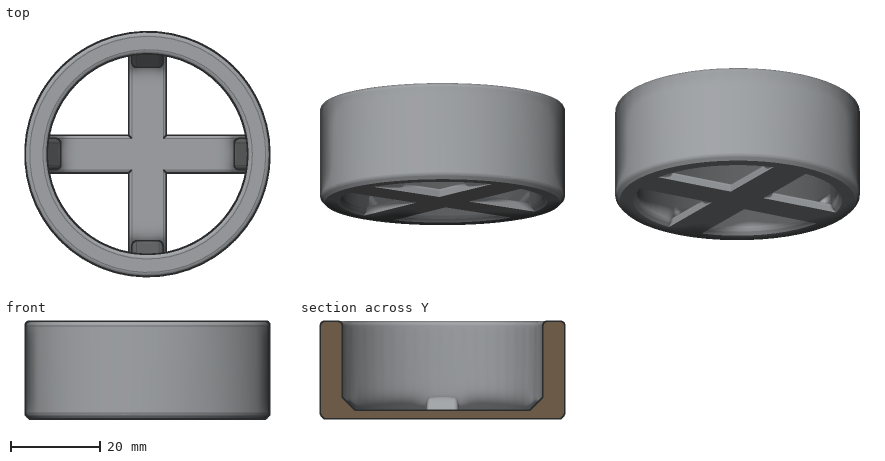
import cadquery as cq

outer_diameter = 55.0
bore_diameter = 45.0
height = 22.0
top_edge_radius = 1.0
bottom_chamfer = 1.0
chamfer_blend_radius = 1.0

arm_width = 8.5
arm_thickness = 2.0
arm_edge_radius = 0.7

wedge_width = arm_width - 2 * arm_edge_radius
wedge_reach = 3.0
wedge_edge_radius = 1.0
arm_count = 4

outer_radius = outer_diameter / 2
bore_radius = bore_diameter / 2
mid_wall_radius = (outer_radius + bore_radius) / 2


def make_ring():
    """Tube with rounded top rims and blended chamfers on both bottom rims."""
    ring = cq.Workplane("XY").circle(outer_radius).circle(bore_radius).extrude(height)
    ring = ring.faces(">Z").edges().fillet(top_edge_radius)
    ring = ring.faces("<Z").edges().chamfer(bottom_chamfer)
    chamfer_tops = cq.selectors.BoxSelector(
        (-outer_radius, -outer_radius, bottom_chamfer / 2),
        (outer_radius, outer_radius, height / 2),
    )
    return ring.edges("%CIRCLE").edges(chamfer_tops).fillet(chamfer_blend_radius)


def make_cross():
    """Two crossed bars with rounded upper edges, ending inside the ring wall."""
    arm_length = 2 * mid_wall_radius
    cross = cq.Workplane("XY").rect(arm_length, arm_width).extrude(arm_thickness)
    cross = cross.union(cq.Workplane("XY").rect(arm_width, arm_length).extrude(arm_thickness))
    return cross.faces(">Z").edges().fillet(arm_edge_radius)


def make_wedge():
    """45 degree wedge rising from an arm to the bore, its sloping edges rounded."""
    toe_radius = bore_radius - wedge_reach
    rise = mid_wall_radius - toe_radius
    wedge = (
        cq.Workplane("XZ")
        .moveTo(toe_radius, arm_thickness)
        .lineTo(mid_wall_radius, arm_thickness)
        .lineTo(mid_wall_radius, arm_thickness + rise)
        .close()
        .extrude(wedge_width / 2, both=True)
    )
    return wedge.edges("not (|X or |Y or |Z)").fillet(wedge_edge_radius)


result = make_ring().union(make_cross())
wedge = make_wedge()
for index in range(arm_count):
    result = result.union(wedge.rotate((0, 0, 0), (0, 0, 1), index * 360 / arm_count))